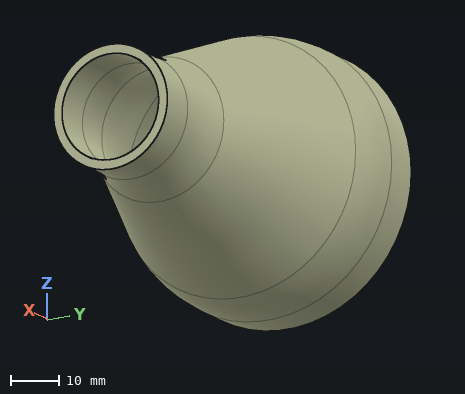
import cadquery as cq
import math

length = 76.0
large_radius = 60.35 / 2
small_radius = 26.9 / 2
wall = 2.05
collar_length = 8.8
bend_radius = 34.95

large_collar_end = collar_length
small_collar_start = length - collar_length

half_run = (small_collar_start - large_collar_end) / 2
half_drop = (large_radius - small_radius) / 2
center_offset = bend_radius - half_drop
cone_angle = math.asin(bend_radius / math.hypot(half_run, center_offset)) - math.atan2(center_offset, half_run)

large_bend_center = large_radius - bend_radius
small_bend_center = small_radius + bend_radius


def large_bend_point(radius, angle):
    """Point on the bend beside the large collar, angle measured from the collar."""
    return (large_collar_end + radius * math.sin(angle), large_bend_center + radius * math.cos(angle))


def small_bend_point(radius, angle):
    """Point on the bend beside the small collar, angle measured from the collar."""
    return (small_collar_start - radius * math.sin(angle), small_bend_center - radius * math.cos(angle))


def reducer_solid(inset):
    """Solid of revolution whose surface lies the given inset below the outer surface."""
    large_bend = bend_radius - inset
    small_bend = bend_radius + inset
    profile = (
        cq.Workplane("XY")
        .moveTo(0, 0)
        .lineTo(0, large_radius - inset)
        .lineTo(*large_bend_point(large_bend, 0))
        .threePointArc(large_bend_point(large_bend, cone_angle / 2), large_bend_point(large_bend, cone_angle))
        .lineTo(*small_bend_point(small_bend, cone_angle))
        .threePointArc(small_bend_point(small_bend, cone_angle / 2), small_bend_point(small_bend, 0))
        .lineTo(length, small_radius - inset)
        .lineTo(length, 0)
        .close()
    )
    return profile.revolve(360, (0, 0, 0), (1, 0, 0))


result = reducer_solid(0).cut(reducer_solid(wall))